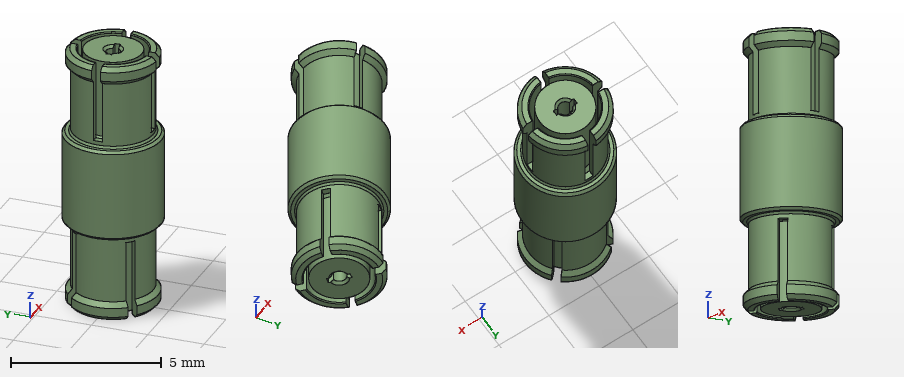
import cadquery as cq

length = 9.3
half_length = length / 2

collar_radius = 1.7
collar_half_length = 1.64
collar_chamfer = 0.09

sleeve_radius = 1.42
sleeve_cone_width = 0.06
sleeve_cone_height = 0.08

lip_radius = 1.59
lip_top_chamfer = 0.15
lip_land = 0.33
lip_under_chamfer = lip_radius - sleeve_radius

core_radius = 1.01
core_recess = 0.04
bore_radius = 1.2
bore_chamfer = 0.04

finger_slot_width = 0.32
finger_slot_depth = 2.79
finger_count = 4
end_twist = 45.0

socket_radius = 0.25
socket_chamfer = 0.09
socket_depth = 1.12
socket_tip_height = 0.15
socket_slot_length = 0.82
socket_slot_width = 0.195
socket_slot_depth = 0.74

core_face = half_length - core_recess
finger_slot_floor = half_length - finger_slot_depth


def revolve_outline(points):
    """Revolve a closed (radius, height) outline about the Z axis."""
    return cq.Workplane("XZ").polyline(points).close().revolve(360, (0, 0, 0), (0, 1, 0))


def solid_body():
    """Solid barrel: collar, sleeves and lips, symmetric about the middle plane."""
    lip_bottom = half_length - lip_top_chamfer - lip_land
    upper_edge = [
        (collar_radius, collar_half_length - collar_chamfer),
        (collar_radius - collar_chamfer, collar_half_length),
        (sleeve_radius + sleeve_cone_width, collar_half_length),
        (sleeve_radius, collar_half_length + sleeve_cone_height),
        (sleeve_radius, lip_bottom - lip_under_chamfer),
        (lip_radius, lip_bottom),
        (lip_radius, lip_bottom + lip_land),
        (lip_radius - lip_top_chamfer, half_length),
        (0, half_length),
    ]
    lower_edge = [(radius, -height) for radius, height in reversed(upper_edge)]
    return revolve_outline(lower_edge + upper_edge)


def ring_gap():
    """Gap around the core, with a 45 degree cone below the finger slots, and the core recess."""
    gap_floor = finger_slot_floor - (bore_radius - core_radius)
    return revolve_outline([
        (0, core_face),
        (core_radius, core_face),
        (core_radius, finger_slot_floor),
        (bore_radius, gap_floor),
        (bore_radius, half_length - bore_chamfer),
        (bore_radius + bore_chamfer, half_length),
        (0, half_length),
    ])


def finger_slots():
    """Radial slots through the sleeve wall, stopping at the core."""
    slot = (
        cq.Workplane("XY")
        .box(lip_radius, finger_slot_width, finger_slot_depth, centered=(False, True, False))
        .translate((0, 0, finger_slot_floor))
    )
    slots = slot
    for index in range(1, finger_count):
        slots = slots.union(slot.rotate((0, 0, 0), (0, 0, 1), index * 360 / finger_count))
    core = cq.Workplane("XY").circle(core_radius).extrude(half_length)
    return slots.cut(core)


def contact_socket():
    """Countersunk blind hole with a conical tip, crossed by a slot along X."""
    hole_floor = core_face - socket_depth
    hole = revolve_outline([
        (0, hole_floor - socket_tip_height),
        (socket_radius, hole_floor),
        (socket_radius, core_face - socket_chamfer),
        (socket_radius + socket_chamfer, core_face),
        (0, core_face),
    ])
    slot = (
        cq.Workplane("XY")
        .box(socket_slot_length, socket_slot_width, socket_slot_depth, centered=(True, True, False))
        .translate((0, 0, core_face - socket_slot_depth))
    )
    return hole.union(slot)


upper_cuts = [ring_gap(), finger_slots(), contact_socket()]
result = solid_body()
for cut_shape in upper_cuts:
    lower_cut = cut_shape.mirror("XY").rotate((0, 0, 0), (0, 0, 1), end_twist)
    result = result.cut(cut_shape).cut(lower_cut)